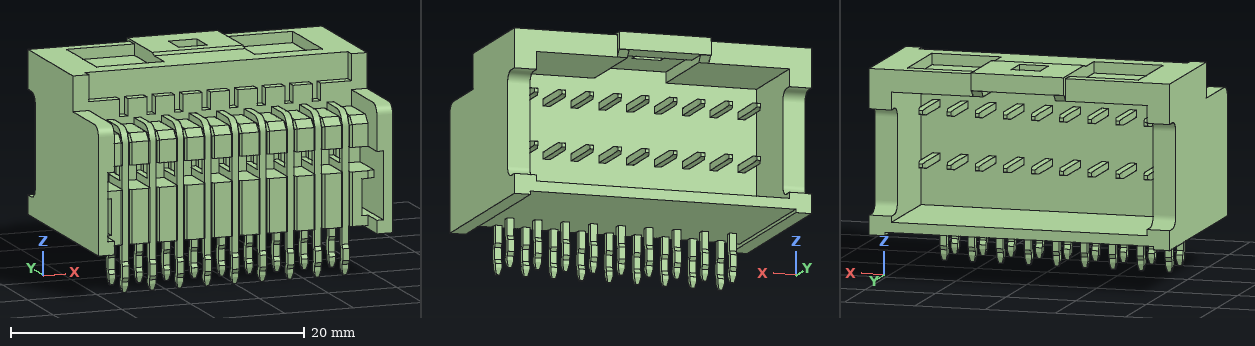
import cadquery as cq


pin_count = 9
pin_row_length = 16.0
pin_size = 0.5
pitch = pin_row_length / (pin_count - 1)
pin_columns = [i * pitch - pin_row_length / 2 for i in range(pin_count)]
gap_columns = [x + pitch / 2 for x in pin_columns[:-1]]

width = 21.4
depth = 14.0
height = 11.55
wall = 1.15
underside_z = 0.24
step_y = 5.05
step_z = 9.05
wall_round = 0.75
inner_width = width - 2 * wall

side_notch_depth = 1.45
side_notch_bottom = 1.4
side_notch_top = 8.75

ledge_z = 9.67
ledge_depth = 0.7
comb_notch_width = 0.6
comb_notch_z = 8.45

tab_width = 6.6
tab_rise = 0.15
tab_overhang = 0.51
tab_front_y = 9.07
tab_slope = 0.45
tab_bottom_z = 10.46
tab_bevel_start = 0.13
tab_hole = 2.05
tab_hole_y = 11.43
pocket_half_span = 8.22
pocket_front_y = 7.17
pocket_back_y = 13.05
pocket_depth = 0.8

cavity_width = 18.2
cavity_front_y = 6.85
cavity_floor_z = 0.96
cavity_roof_z = 10.0
keyway_width = 5.14
keyway_roof_z = 10.76

rib_front_y = 1.75
rib_top_z = 7.92
rib_bevel = 0.54
rib_edge = 0.15

slot_bottom_z = 4.07
slot_top_z = 5.78
slot_back_y = 4.58
slot_undercut = 0.47
end_block_setback = 0.1
end_notch_reach = 0.45
end_notch_bottom_z = 0.96
end_notch_top_z = 3.53

front_pin_y = 2.03
rear_pin_y = 4.58
front_pin_z = 8.3
rear_pin_z = 4.6
pin_bend = 1.07
pin_end_y = 10.6
pin_end_taper = 0.47
pin_bottom_z = -3.19
pin_tip = 0.25
pin_taper_z = -2.72
kink_offset = 0.15
kink_start_z = -1.0
kink_full_z = -1.28
kink_release_z = -2.12
kink_end_z = -2.42


def block(x0, x1, y0, y1, z0, z1):
    """Axis-aligned box between two corners."""
    return cq.Workplane("XY").box(x1 - x0, y1 - y0, z1 - z0, centered=False).translate((x0, y0, z0))


def centred_block(x_mid, x_size, y0, y1, z0, z1):
    """Axis-aligned box centred on an X position."""
    return block(x_mid - x_size / 2, x_mid + x_size / 2, y0, y1, z0, z1)


def side_profile(points, x0, x1):
    """Closed (Y, Z) outline extruded from x0 to x1."""
    return cq.Workplane("YZ").workplane(offset=x0).polyline(points).close().extrude(x1 - x0)


def round_edge_along_x(solid, y, z, radius):
    """Fillet the edge that runs along X at the given Y and Z."""
    reach = 0.02
    near_edge = cq.selectors.BoxSelector((-width, y - reach, z - reach), (width, y + reach, z + reach))
    return solid.edges("|X").edges(near_edge).fillet(radius)


def make_shell():
    outline = [(0, 0), (depth, 0), (depth, height), (step_y, height), (step_y, step_z), (0, step_z)]
    shell = side_profile(outline, -width / 2, width / 2)
    shell = round_edge_along_x(shell, 0, step_z, wall_round)
    shell = shell.cut(centred_block(0, inner_width, 0, step_y, 0, height))
    shell = shell.cut(centred_block(0, inner_width, 0, depth, 0, underside_z))
    side_notch = centred_block(
        0, width, depth - side_notch_depth, depth, side_notch_bottom, side_notch_top
    )
    return shell.cut(side_notch.edges("|X and <Y").fillet(wall_round))


def cut_ledge(body):
    ledge_back = step_y + ledge_depth
    body = body.cut(centred_block(0, inner_width, step_y, ledge_back, ledge_z, height))
    for x in gap_columns:
        body = body.cut(centred_block(x, comb_notch_width, step_y, ledge_back, comb_notch_z, ledge_z))
    return body


def add_roof_features(body):
    tab_back = depth + tab_overhang
    tab_top = height + tab_rise
    tab_outline = [
        (tab_front_y, height),
        (tab_front_y + tab_slope, tab_top),
        (tab_back, tab_top),
        (tab_back, tab_bottom_z),
        (tab_back - tab_bevel_start, tab_bottom_z),
        (depth, cavity_roof_z),
        (tab_front_y, cavity_roof_z),
    ]
    body = body.union(side_profile(tab_outline, -tab_width / 2, tab_width / 2))
    pocket_floor = height - pocket_depth
    for x0, x1 in ((-pocket_half_span, -tab_width / 2), (tab_width / 2, pocket_half_span)):
        body = body.cut(block(x0, x1, pocket_front_y, pocket_back_y, pocket_floor, height))
    return body


def cut_cavity(body):
    body = body.cut(
        centred_block(0, cavity_width, cavity_front_y, depth, cavity_floor_z, cavity_roof_z)
    )
    hole_front = tab_hole_y - tab_hole / 2
    hole_back = tab_hole_y + tab_hole / 2
    body = body.cut(
        centred_block(0, keyway_width, cavity_front_y, hole_back, cavity_roof_z, keyway_roof_z)
    )
    body = body.cut(
        centred_block(0, keyway_width, hole_back, depth + tab_overhang, cavity_roof_z, tab_bottom_z)
    )
    return body.cut(
        centred_block(0, tab_hole, hole_front, hole_back, cavity_roof_z, height + tab_rise)
    )


def make_rib(x0, x1, chamfered_faces):
    outline = [
        (step_y, underside_z),
        (rib_front_y, underside_z),
        (rib_front_y, rib_top_z - rib_bevel),
        (rib_front_y + rib_bevel, rib_top_z),
        (step_y, rib_top_z),
    ]
    rib = side_profile(outline, x0, x1)
    return rib.faces(chamfered_faces).edges("not(>Y or <Z)").chamfer(rib_edge)


def add_ribs(body):
    half_pin = pin_size / 2
    first_groove = pin_columns[0] - half_pin
    last_groove = pin_columns[-1] + half_pin
    body = body.union(make_rib(-inner_width / 2, first_groove, ">X"))
    body = body.union(make_rib(last_groove, inner_width / 2, "<X"))
    for x in gap_columns:
        body = body.union(make_rib(x - pitch / 2 + half_pin, x + pitch / 2 - half_pin, "|X"))
    return body


def cut_bar_slot(body):
    slot_width = inner_width + 2 * slot_undercut
    end_block_front_y = rib_front_y + end_block_setback
    body = body.cut(
        centred_block(0, slot_width, rib_front_y, slot_back_y, slot_bottom_z, slot_top_z)
    )
    for side in (-1, 1):
        pocket_mid = side * (inner_width + slot_undercut) / 2
        body = body.cut(
            centred_block(pocket_mid, slot_undercut, 0, end_block_front_y, end_notch_bottom_z, slot_top_z)
        )
        notch_width = slot_undercut + end_notch_reach
        notch_mid = side * (slot_width - notch_width) / 2
        body = body.cut(
            centred_block(
                notch_mid, notch_width, rib_front_y, slot_back_y, end_notch_bottom_z, end_notch_top_z
            )
        )
    return body


def add_webs(body):
    """Fill each pin groove behind the front pin, leaving the bar slot open above the lower contact."""
    web_front = front_pin_y + pin_size
    for x in pin_columns:
        body = body.union(centred_block(x, pin_size, web_front, step_y, underside_z, rear_pin_z))
        body = body.union(
            centred_block(x, pin_size, web_front, step_y, slot_top_z, front_pin_z - pin_size)
        )
    return body


def make_pin_tip(plane, length):
    """Tapered square point growing from the origin along the normal of the plane."""
    base = cq.Workplane(plane).rect(pin_size, pin_size)
    return base.workplane(offset=length).rect(pin_tip, pin_tip).loft()


def make_pin(front_y, top_z, kink):
    """Bent pin at X = 0 with a kinked leg; the sign of kink sets which way it bows in Y."""
    back_y = front_y + pin_size
    bow = [(0, kink_start_z), (kink, kink_full_z), (kink, kink_release_z), (0, kink_end_z)]
    front_side = [(front_y + dy, z) for dy, z in bow]
    back_side = [(back_y + dy, z) for dy, z in reversed(bow)]
    taper_y = pin_end_y - pin_end_taper
    pin_outline = (
        [(front_y, top_z)]
        + front_side
        + [(front_y, pin_taper_z), (back_y, pin_taper_z)]
        + back_side
        + [(back_y, top_z - pin_size), (taper_y, top_z - pin_size), (taper_y, top_z)]
    )
    pin = side_profile(pin_outline, -pin_size / 2, pin_size / 2)
    pin = round_edge_along_x(pin, front_y, top_z, pin_bend)
    pin = round_edge_along_x(pin, back_y, top_z - pin_size, pin_bend - pin_size)
    mid_y = front_y + pin_size / 2
    mid_z = top_z - pin_size / 2
    leg_tip = make_pin_tip(cq.Plane.XY().rotated((180, 0, 0)), pin_taper_z - pin_bottom_z)
    contact_tip = make_pin_tip("ZX", pin_end_taper)
    pin = pin.union(leg_tip.translate((0, mid_y, pin_taper_z)))
    return pin.union(contact_tip.translate((0, taper_y, mid_z)))


def add_pins(body):
    front_pin = make_pin(front_pin_y, front_pin_z, -kink_offset)
    rear_pin = make_pin(rear_pin_y, rear_pin_z, kink_offset)
    for x in pin_columns:
        body = body.union(front_pin.translate((x, 0, 0)))
        body = body.union(rear_pin.translate((x, 0, 0)))
    return body


housing = add_roof_features(cut_ledge(make_shell()))
housing = cut_cavity(housing)
housing = cut_bar_slot(add_ribs(housing))
result = add_pins(add_webs(housing))